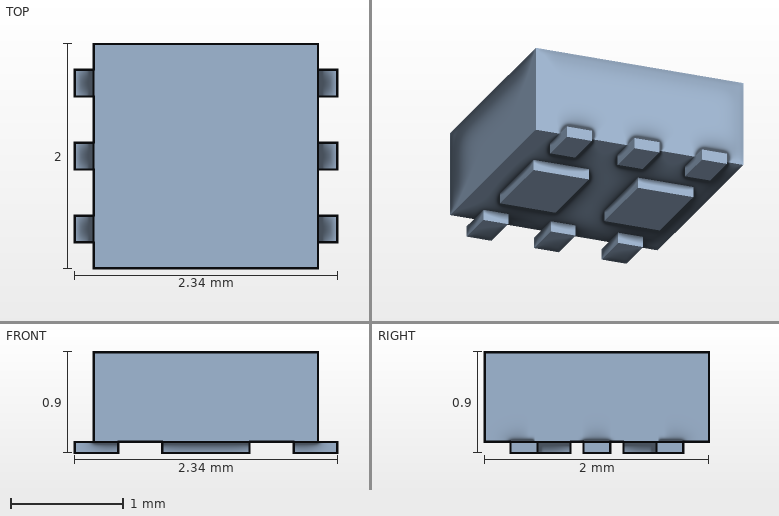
import cadquery as cq

body_length = 2.0
body_width = 2.0
overall_length = 2.34
overall_height = 0.9

terminal_thickness = 0.1
lead_length = 0.39
lead_width = 0.24
lead_pitch = 0.65
pad_length = 0.78
pad_gap = 0.47

body_height = overall_height - terminal_thickness
lead_center_x = (overall_length - lead_length) / 2

pad_outer_y = lead_pitch + lead_width / 2
pad_inner_y = pad_gap / 2
pad_width = pad_outer_y - pad_inner_y
pad_center_y = (pad_outer_y + pad_inner_y) / 2


def block(length, width, height, center_x=0, center_y=0, bottom_z=0):
    """Rectangular block placed by the center of its bottom face."""
    return (
        cq.Workplane("XY")
        .box(length, width, height, centered=(True, True, False))
        .translate((center_x, center_y, bottom_z))
    )


def make_body():
    return block(body_length, body_width, body_height, bottom_z=terminal_thickness)


def make_lead(side, row):
    """Lead on the -X (side -1) or +X (side 1) end, in row -1, 0 or 1 along Y."""
    return block(lead_length, lead_width, terminal_thickness, side * lead_center_x, row * lead_pitch)


def make_pad(side):
    """Pad under the body on the -Y (side -1) or +Y (side 1) half."""
    return block(pad_length, pad_width, terminal_thickness, center_y=side * pad_center_y)


body = make_body()
leads = [make_lead(side, row) for side in (-1, 1) for row in (-1, 0, 1)]
pads = [make_pad(side) for side in (-1, 1)]

result = cq.Compound.makeCompound(
    [
        body.val(),
        *[lead.val() for lead in leads],
        *[pad.val() for pad in pads],
    ]
)